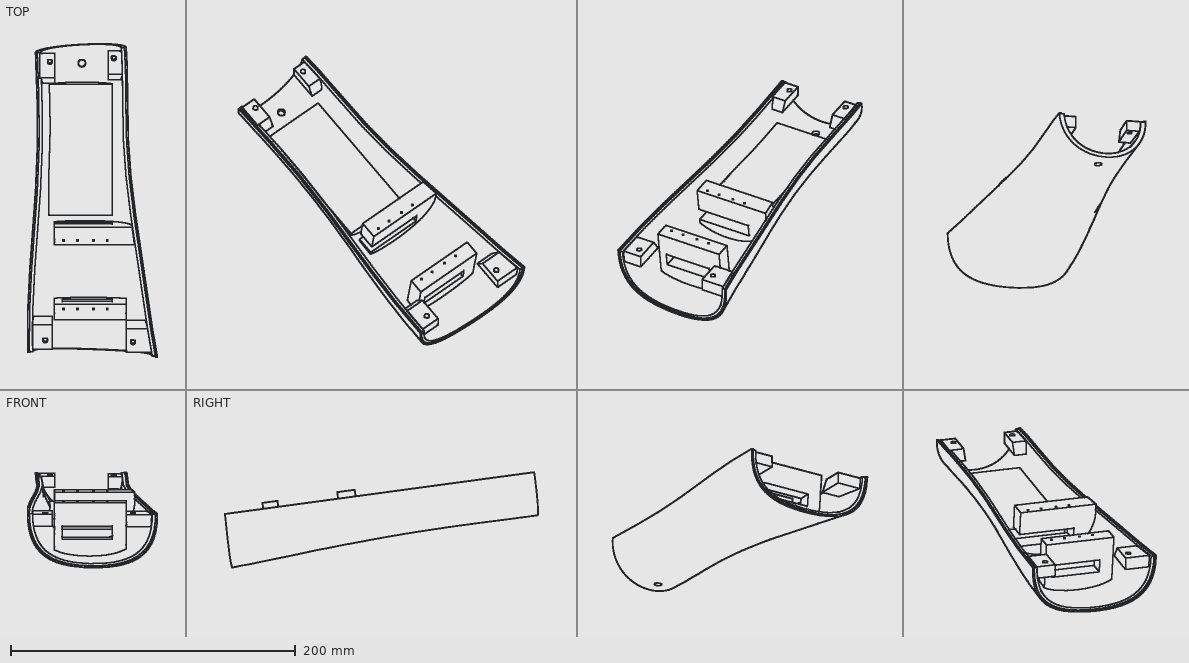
import cadquery as cq
import math

TILT = 7.7
SIDE_WALL = 3.5
BOTTOM_WALL = 2.9
HERMITE = 3.0
RISE = 6.5
LIP_WIDTH = 1.3
LIP_HEIGHT = 0.5
PLAN_X, PLAN_Y = (-11.0, 110.0), (-11.0, 242.0)
BELOW = -66.0

SECTIONS = [
    (-6.5, 0.0, 92.5, 38.7, 0.7),
    (48.5, 0.5, 83.5, 35.0, 0.67),
    (99.0, 4.0, 76.0, 32.0, 0.61),
    (151.9, 6.5, 70.6, 30.4, 0.58),
    (182.7, 6.4, 70.0, 30.4, 0.58),
    (226.7, 5.0, 68.2, 30.4, 0.58),
]

END_TURN_NEAR, END_TURN_FAR = -2.1, 3.3
NEAR_END_Y, FAR_END_Y = 3.7, 215.7
NEAR_END_LEAN = -2.0
TRIM = 132.0

BLOCK_SLOPE = 4.8
BLOCKS = [
    (1.8, 17.2, 5.7, 23.3, -0.9, -9.2, 12.0, 12.0),
    (69.0, 90.2, 3.5, 20.5, -0.9, -9.2, 73.7, 10.8),
    (8.1, 19.0, 215.5, 198.0, -0.2, -7.3, 15.5, 209.5),
    (56.3, 68.2, 217.2, 200.5, -0.9, -8.8, 60.3, 212.0),
]
SCREW_DIAMETER, SCREW_DEPTH = 3.3, 6.5

PAD_LEFT, PAD_RIGHT = 14.7, 59.2
PAD_START, PAD_END = 98.5, 191.5
PAD_LEVEL = -16.7

BRIDGE_LEFT = 18.5
NEAR_BRIDGE_TOP, FAR_BRIDGE_TOP = 4.2, 4.6
NEAR_BRIDGE = (27.5, 38.3)
FAR_BRIDGE = (80.5, 93.0)
NEAR_BRIDGE_RIGHTS = (68.9, 68.9)
FAR_BRIDGE_RIGHTS = (74.8, 73.0)
SLOT_LEFT, SLOT_RIGHT = 24.0, 59.2
SLOT_LOW, SLOT_HIGH = -21.5, -12.3
PIN_DIAMETER, PIN_DEPTH = 1.0, 4.5
PIN_XS = (25.0, 34.8, 46.0, 55.7)
NEAR_PIN_Y, FAR_PIN_Y = 35.0, 83.6

DRAIN_DIAMETER, DRAIN_X, DRAIN_Y = 5.0, 37.9, 204.7


def section_wire(station, left, right, depth, fullness, side_inset, bottom_inset):
    """U-shaped section closed across the top, pulled in by the two insets."""
    centre = (left + right) / 2
    half_width = (right - left) / 2 - side_inset
    drop = depth - bottom_inset
    up = cq.Vector(0, 0, RISE)
    lowest = cq.Vector(centre, station, -drop)
    rims = [cq.Vector(centre + sign * half_width, station, 0) for sign in (-1, 1)]
    across = cq.Vector(half_width, 0, 0) * (HERMITE * fullness)
    down = cq.Vector(0, 0, -drop) * (HERMITE * fullness)
    bottom = cq.Edge.makeSpline(
        [rims[0], lowest, rims[1]],
        tangents=[down, across, -down],
        parameters=[0, 1, 2],
        scale=False,
    )
    right_side = cq.Edge.makeLine(rims[1], rims[1] + up)
    top = cq.Edge.makeLine(rims[1] + up, rims[0] + up)
    left_side = cq.Edge.makeLine(rims[0] + up, rims[0])
    return cq.Wire.assembleEdges([bottom, right_side, top, left_side])


def trough(side_inset, bottom_inset):
    """Solid filling the shell shape, set in from the outer skin."""
    wires = [section_wire(*row, side_inset, bottom_inset) for row in SECTIONS]
    return cq.Workplane(cq.Solid.makeLoft(wires))


def prism(points, low, high):
    """Upright prism over a plan outline between two levels."""
    return cq.Workplane(origin=(0, 0, low)).polyline(points).close().extrude(high - low)


def box(x_range, y_range, z_range):
    (left, right), (start, end) = x_range, y_range
    corners = [(left, start), (right, start), (right, end), (left, end)]
    return prism(corners, *z_range)


def hole(x, y, diameter, top, depth):
    return cq.Workplane(origin=(x, y, top - depth)).circle(diameter / 2).extrude(depth)


def end_trim(y, turn, lean, side):
    """Block beyond an end plane; side is -1 for the near end and 1 for the far end."""
    block = cq.Workplane().box(2 * TRIM, TRIM, 2 * TRIM).translate((0, side * TRIM / 2, 0))
    block = block.rotate((0, 0, 0), (1, 0, 0), lean).rotate((0, 0, 0), (0, 0, 1), turn)
    return block.translate((0, y, 0))


def screw_block(left, right, start, end, top, underside, hole_x, hole_y):
    """Block whose end face is upright once the part is tilted, with a sloped inner face."""
    height = top - underside
    slope = math.copysign(BLOCK_SLOPE, end - start)
    profile = [
        (start, top),
        (end, top),
        (end + slope, underside),
        (start - height * math.tan(math.radians(TILT)), underside),
    ]
    block = cq.Workplane("YZ", origin=(left, 0, 0)).polyline(profile).close().extrude(right - left)
    return block.cut(hole(hole_x, hole_y, SCREW_DIAMETER, top, SCREW_DEPTH))


def bridge(y_range, rights, top, slot_left, pin_y):
    """Slotted cross wall with a row of pin holes; rights are its right X at the start and end."""
    start, end = y_range
    plan = [(BRIDGE_LEFT, start), (rights[0], start), (rights[1], end), (BRIDGE_LEFT, end)]
    body = prism(plan, BELOW, top)
    body = body.cut(box((slot_left, SLOT_RIGHT), y_range, (SLOT_LOW, SLOT_HIGH)))
    for x in PIN_XS:
        body = body.cut(hole(x, pin_y, PIN_DIAMETER, top, PIN_DEPTH))
    return body


envelope = trough(0, 0)
core = trough(LIP_WIDTH, LIP_WIDTH)

shell = envelope.intersect(box(PLAN_X, PLAN_Y, (BELOW, 0))).cut(trough(SIDE_WALL, BOTTOM_WALL))
shell = shell.cut(core.intersect(box(PLAN_X, PLAN_Y, (-LIP_HEIGHT, RISE))))
shell = shell.cut(end_trim(NEAR_END_Y, END_TURN_NEAR, NEAR_END_LEAN, -1))
shell = shell.cut(core.intersect(end_trim(NEAR_END_Y + LIP_HEIGHT, END_TURN_NEAR, NEAR_END_LEAN, -1)))
shell = shell.cut(end_trim(FAR_END_Y, END_TURN_FAR, 0, 1))

inside = box((PAD_LEFT, PAD_RIGHT), (PAD_START, PAD_END), (BELOW, PAD_LEVEL))
for row in BLOCKS:
    inside = inside.union(screw_block(*row))
inside = inside.union(bridge(NEAR_BRIDGE, NEAR_BRIDGE_RIGHTS, NEAR_BRIDGE_TOP, SLOT_LEFT, NEAR_PIN_Y))
inside = inside.union(bridge(FAR_BRIDGE, FAR_BRIDGE_RIGHTS, FAR_BRIDGE_TOP, BRIDGE_LEFT, FAR_PIN_Y))
inside = inside.intersect(core)

result = shell.union(inside)
result = result.cut(hole(DRAIN_X, DRAIN_Y, DRAIN_DIAMETER, 0, -BELOW))
result = result.rotate((0, 0, 0), (1, 0, 0), TILT)